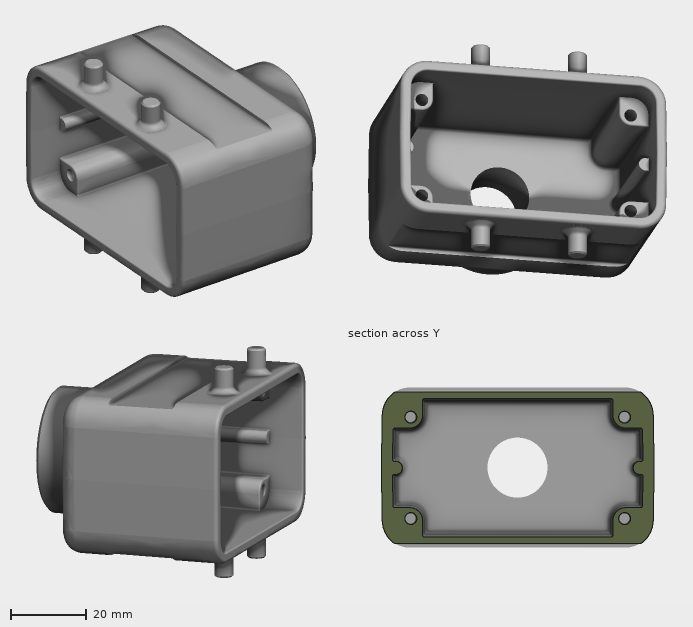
import cadquery as cq
import math

length = 73.0
height = 43.1
depth = 45.0
end_wall_lean = 0.9
corner_radius = 7.6
back_inset = 0.3
back_edge_radius = 4.6
rim_edge_radius = 1.0

mouth_inset = 2.9
lip_radius = 0.45
step_inset = 3.0
mouth_depth = 9.4
floor_inset = 3.8
floor_thickness = 2.9
floor_radius = 0.9
wall_joint_radius = 0.45

boss_radius = 3.3
boss_draft = 0.9
boss_edge_radius = 0.45
screw_x = 28.5
screw_z = 13.5
screw_mouth_diameter = 3.4
screw_end_diameter = 2.7
screw_depth = 14.6

rib_radius = 1.75
rib_center_x = 32.5
rib_draft = 0.5

total_depth = 58.0
collar_diameter = 34.0
collar_end_chamfer = 0.9
collar_base_flare = 0.9
bore_diameter = 16.0

recess_front = 13.8
recess_back = 32.1
recess_depth = 1.2
recess_floor_radius = 0.4

peg_x = 13.2
peg_y = 6.1
peg_radius = 2.55
peg_top = 57.0 / 2
peg_chamfer = 0.45
peg_cone_height = 1.4
peg_blend = 0.45

lean = math.radians(end_wall_lean)
corner_z = height / 2 - corner_radius
corner_x = length / 2 - corner_radius / math.cos(lean) - corner_z * math.tan(lean)
floor_y = depth - floor_thickness


def facing_back(y):
    """Workplane at depth y whose normal points to the back."""
    return cq.Workplane(cq.Plane(origin=(0, y, 0), xDir=(-1, 0, 0), normal=(0, 1, 0)))


def hood_outline(y, inset):
    """Rounded rectangle with end walls that peak at the parting line."""
    radius = corner_radius - inset
    peak = corner_x + radius / math.cos(lean) + corner_z * math.tan(lean)
    top = corner_z + radius
    side_x = corner_x + radius * math.cos(lean)
    side_z = corner_z + radius * math.sin(lean)
    mid_angle = (math.pi / 2 + lean) / 2
    mid_x = corner_x + radius * math.cos(mid_angle)
    mid_z = corner_z + radius * math.sin(mid_angle)
    return (
        facing_back(y)
        .moveTo(-corner_x, top)
        .lineTo(corner_x, top)
        .threePointArc((mid_x, mid_z), (side_x, side_z))
        .lineTo(peak, 0)
        .lineTo(side_x, -side_z)
        .threePointArc((mid_x, -mid_z), (corner_x, -top))
        .lineTo(-corner_x, -top)
        .threePointArc((-mid_x, -mid_z), (-side_x, -side_z))
        .lineTo(-peak, 0)
        .lineTo(-side_x, side_z)
        .threePointArc((-mid_x, mid_z), (-corner_x, top))
        .close()
    )


def tapered_block(front_y, front_inset, back_y, back_inset):
    """Solid between two hood outlines, with straight drafted walls."""
    front = hood_outline(front_y, front_inset).val()
    back = hood_outline(back_y, back_inset).val()
    return cq.Workplane(cq.Solid.makeLoft([front, back], True))


def make_shell():
    shell = tapered_block(0, 0, depth, back_inset)
    shell = shell.faces(">Y").edges().fillet(back_edge_radius)
    return shell.faces("<Y").edges().fillet(rim_edge_radius)


def make_boss(x_sign, z_sign):
    """Corner pillar, rounded toward the middle of the cavity, widening to the back."""
    inner_x = corner_x - boss_radius
    inner_z = corner_z - boss_radius
    diagonal = boss_radius * math.sqrt(0.5)
    boss = (
        facing_back(mouth_depth)
        .moveTo(-inner_x, height / 2)
        .lineTo(-inner_x, corner_z)
        .threePointArc((-corner_x + diagonal, corner_z - diagonal), (-corner_x, inner_z))
        .lineTo(-length / 2, inner_z)
        .lineTo(-length / 2, height / 2)
        .close()
        .extrude(depth - mouth_depth, taper=-boss_draft)
        .faces("<Y")
        .edges()
        .fillet(boss_edge_radius)
    )
    if x_sign < 0:
        boss = boss.mirror("YZ")
    if z_sign < 0:
        boss = boss.mirror("XY")
    return boss


def make_rib(x_sign):
    """Half-round guide rib, its flat back buried in the end wall."""
    x = x_sign * rib_center_x
    return (
        facing_back(mouth_depth)
        .center(-x, 0)
        .circle(rib_radius)
        .extrude(depth - mouth_depth, taper=-rib_draft)
    )


def meets_wall(edge):
    """True for a long cavity edge where a boss or rib meets a wall."""
    box = edge.BoundingBox()
    runs_deep = box.ylen > (floor_y - mouth_depth) / 2
    near_end_wall = abs(box.center.x) > corner_x + boss_radius
    near_long_wall = abs(box.center.z) > corner_z + boss_radius
    return runs_deep and (near_end_wall or near_long_wall)


def cut_mouth(shell):
    mouth = tapered_block(0, mouth_inset, mouth_depth, step_inset)
    shell = shell.cut(mouth)
    lip = shell.faces("<Y").val().innerWires()[0]
    return shell.newObject(lip.Edges()).fillet(lip_radius)


def make_rear_cavity():
    rear = tapered_block(mouth_depth, step_inset, floor_y, floor_inset)
    for x_sign in (-1, 1):
        rear = rear.cut(make_rib(x_sign))
        for z_sign in (-1, 1):
            rear = rear.cut(make_boss(x_sign, z_sign))
    rear = rear.edges().filter(meets_wall).fillet(wall_joint_radius)
    return rear.faces(">Y").edges().fillet(floor_radius)


def make_collar():
    return (
        facing_back(floor_y)
        .circle(collar_diameter / 2)
        .extrude(total_depth - floor_y)
        .faces(">Y")
        .chamfer(collar_end_chamfer)
    )


def make_collar_flare():
    base_radius = collar_diameter / 2
    return (
        cq.Workplane("XY")
        .moveTo(0, floor_y)
        .lineTo(base_radius + collar_base_flare, floor_y)
        .lineTo(base_radius + collar_base_flare, depth)
        .lineTo(base_radius, depth + collar_base_flare)
        .lineTo(0, depth + collar_base_flare)
        .close()
        .revolve(360, (0, 0, 0), (0, 1, 0))
    )


def make_peg(x):
    """Upright peg on the top wall with a blended conical foot."""
    surface = height / 2
    slant = peg_blend * math.sqrt(0.5)
    cone_top = surface + peg_cone_height
    foot_radius = peg_radius + peg_cone_height
    return (
        cq.Workplane("XZ")
        .moveTo(0, peg_top)
        .lineTo(peg_radius - peg_chamfer, peg_top)
        .lineTo(peg_radius, peg_top - peg_chamfer)
        .lineTo(peg_radius, cone_top + peg_blend)
        .tangentArcPoint((peg_radius + slant, cone_top - slant), relative=False)
        .lineTo(foot_radius - slant, surface + slant)
        .tangentArcPoint((foot_radius + peg_blend, surface), relative=False)
        .lineTo(foot_radius + peg_blend, surface - 0.7)
        .lineTo(0, surface - 0.7)
        .close()
        .revolve(360, (0, 0, 0), (0, 1, 0))
        .translate((x, peg_y, 0))
    )


def make_recess():
    """Band across the full length of the top wall, its floor parallel to the drafted wall."""
    slope = back_inset / depth
    front_level = height / 2 - recess_depth - slope * recess_front
    back_level = height / 2 - recess_depth - slope * recess_back
    return (
        cq.Workplane("YZ")
        .moveTo(recess_front, height)
        .lineTo(recess_front, front_level)
        .lineTo(recess_back, back_level)
        .lineTo(recess_back, height)
        .close()
        .extrude(length / 2, both=True)
        .edges("|X and (not >Z)")
        .fillet(recess_floor_radius)
    )


def make_screw_hole(x, z):
    """Blind hole into a boss, narrowing toward its end."""
    hole = cq.Solid.makeCone(
        screw_mouth_diameter / 2,
        screw_end_diameter / 2,
        screw_depth,
        pnt=cq.Vector(x, mouth_depth, z),
        dir=cq.Vector(0, 1, 0),
    )
    return cq.Workplane(hole)


hood = cut_mouth(make_shell()).union(make_collar()).union(make_collar_flare())
hood = hood.cut(make_rear_cavity())
hood = hood.cut(make_recess()).cut(make_recess().mirror("XY"))

for x in (-peg_x, peg_x):
    hood = hood.union(make_peg(x)).union(make_peg(x).mirror("XY"))

for x in (-screw_x, screw_x):
    for z in (-screw_z, screw_z):
        hood = hood.cut(make_screw_hole(x, z))

bore = facing_back(0).circle(bore_diameter / 2).extrude(total_depth)
result = hood.cut(bore)